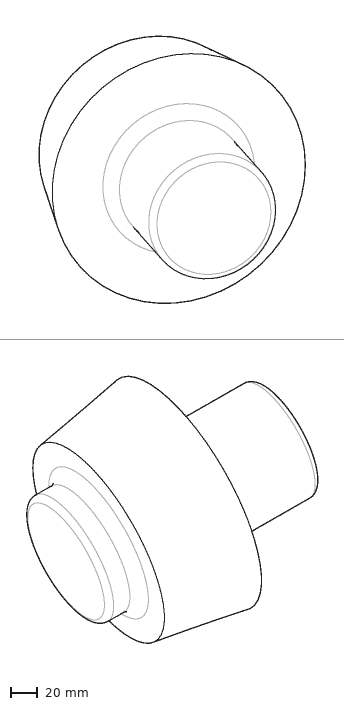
import cadquery as cq
import math

short_journal_length = 30.0
cone_length = 80.0
long_journal_length = 90.0

short_journal_radius = 55.0
long_journal_radius = 50.0
cone_large_radius = 100.0
cone_half_angle = 10.0
cone_small_radius = cone_large_radius - cone_length * math.tan(math.radians(cone_half_angle))

end_round = 5.0
shoulder_fillet = 10.0

cone_start = short_journal_length
cone_end = cone_start + cone_length
shaft_end = cone_end + long_journal_length


def turned_roller():
    """Revolve the stepped half outline of the roller about the X axis."""
    outline = (
        cq.Workplane("XY")
        .moveTo(0, 0)
        .lineTo(0, short_journal_radius - end_round)
        .radiusArc((end_round, short_journal_radius), end_round)
        .lineTo(cone_start - shoulder_fillet, short_journal_radius)
        .radiusArc((cone_start, short_journal_radius + shoulder_fillet), -shoulder_fillet)
        .lineTo(cone_start, cone_small_radius)
        .lineTo(cone_end, cone_large_radius)
        .lineTo(cone_end, long_journal_radius + shoulder_fillet)
        .radiusArc((cone_end + shoulder_fillet, long_journal_radius), -shoulder_fillet)
        .lineTo(shaft_end - end_round, long_journal_radius)
        .radiusArc((shaft_end, long_journal_radius - end_round), end_round)
        .lineTo(shaft_end, 0)
        .close()
    )
    return outline.revolve(360, (0, 0, 0), (1, 0, 0))


result = turned_roller()